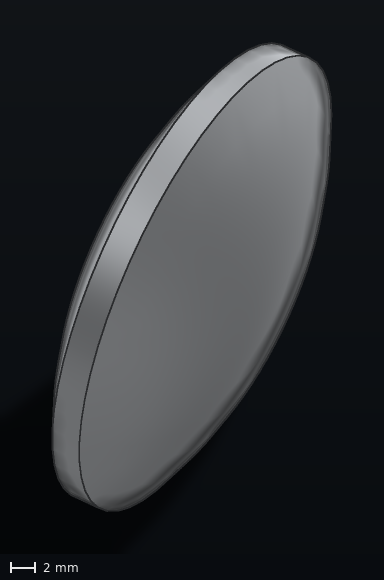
import cadquery as cq
import math

diameter = 40.0
centre_thickness = 13.6
rim_width = 2.5

radius = diameter / 2
half_rim = rim_width / 2
half_thickness = centre_thickness / 2
dome_height = half_thickness - half_rim
sphere_radius = (radius**2 + dome_height**2) / (2 * dome_height)
mid_radius = radius / 2
mid_x = half_thickness - sphere_radius + math.sqrt(sphere_radius**2 - mid_radius**2)

half_section = (
    cq.Workplane("XY")
    .moveTo(-half_thickness, 0)
    .threePointArc((-mid_x, mid_radius), (-half_rim, radius))
    .lineTo(half_rim, radius)
    .threePointArc((mid_x, mid_radius), (half_thickness, 0))
    .close()
)

result = half_section.revolve(360, (0, 0, 0), (1, 0, 0))